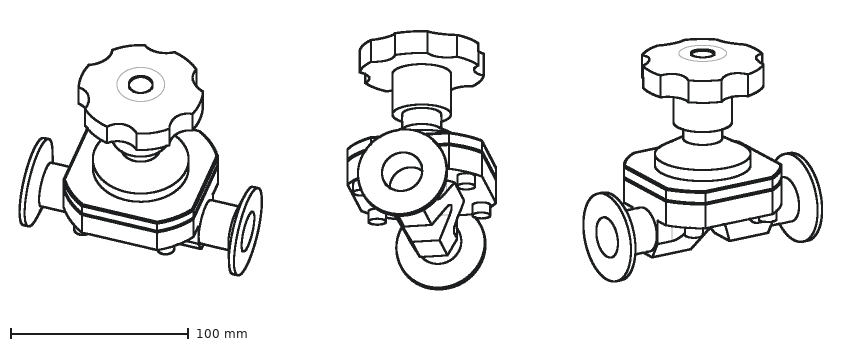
import cadquery as cq
import math

length = 127.0
flange_radius = 25.3
flange_rim = 3.0
flange_depth = 7.5
pipe_radius = 12.7
bore_radius = 23.0 / 2

plate_half = 77.0 / 2
plate_corner_radius = 44.5
plate_chamfer = 0.8
seam_height = 0.9
seam_inset = 0.3

body_bottom = -14.4
slope_top = -4.7
screw_bottom = 3.2
plate_bottom = 9.3
seam_bottom = 23.5
plate_top = 31.2
bonnet_rim_top = 37.8
bonnet_top = 47.1
collar_bottom = 56.8
wheel_bottom = 80.9
wheel_rim_top = 94.0
wheel_top = 97.9

wall_half = 13.5
hump_radius = 26.4
hump_blend = 12.2
side_slope = 30.0
notch_radius = 6.7
notch_top = 1.3
notch_slope = 60.0

screw_radius = 10.0 / 2
screw_x = 24.5
screw_y = 29.7

bonnet_radius = 54.0 / 2
neck_radius = 22.0 / 2
collar_radius = 16.5
wheel_radius = 35.0
wheel_flat_radius = 13.5
dimple_radius = 13.5 / 2
dimple_depth = 0.9
grip_count = 6
grip_radius = 12.0
grip_inner_distance = 30.1


def make_plate(bottom, top, inset=0.0):
    """Square plate whose corners are cut by a cylinder about the stem."""
    side = 2 * (plate_half - inset)
    base = cq.Workplane("XY").workplane(offset=bottom)
    square = base.rect(side, side).extrude(top - bottom)
    corners = base.circle(plate_corner_radius - inset).extrude(top - bottom)
    return square.intersect(corners)


def make_plates():
    seam_top = seam_bottom + seam_height
    cover = make_plate(seam_top, plate_top).faces(">Z").chamfer(plate_chamfer)
    seam = make_plate(seam_bottom, seam_top, seam_inset)
    return make_plate(plate_bottom, seam_bottom).union(seam).union(cover)


def make_lower_body():
    height = plate_bottom - body_bottom
    base = cq.Workplane("XY").workplane(offset=body_bottom)

    blend_y = wall_half + hump_blend
    blend_x = math.sqrt((hump_radius + hump_blend) ** 2 - blend_y ** 2)
    blend_share = hump_radius / (hump_radius + hump_blend)
    touch_y = blend_y * blend_share
    blend_zone = base.rect(2 * blend_x, 2 * touch_y).extrude(height)
    blend_centres = [(x, y) for x in (-blend_x, blend_x) for y in (-blend_y, blend_y)]
    blend_zone = blend_zone.cut(base.pushPoints(blend_centres).circle(hump_blend).extrude(height))
    walls = base.rect(2 * plate_half, 2 * wall_half).extrude(height)
    bulge = base.circle(hump_radius).extrude(height)
    body = walls.union(bulge).union(blend_zone)

    widening = math.tan(math.radians(side_slope))
    bottom_half = wall_half - (slope_top - body_bottom) * widening
    top_half = wall_half + (plate_bottom - slope_top) * widening
    wedge = (
        cq.Workplane("YZ")
        .moveTo(-bottom_half, body_bottom)
        .lineTo(bottom_half, body_bottom)
        .lineTo(top_half, plate_bottom)
        .lineTo(-top_half, plate_bottom)
        .close()
        .extrude(plate_half, both=True)
    )
    return body.intersect(wedge)


def make_notch():
    """Round-topped V passing under the body along Y."""
    angle = math.radians(notch_slope)
    centre_z = notch_top - notch_radius
    tangent_x = notch_radius * math.sin(angle)
    tangent_z = centre_z + notch_radius * math.cos(angle)
    foot_x = tangent_x + (tangent_z - body_bottom) / math.tan(angle)
    return (
        cq.Workplane("XZ")
        .moveTo(-foot_x, body_bottom)
        .lineTo(-tangent_x, tangent_z)
        .threePointArc((0, notch_top), (tangent_x, tangent_z))
        .lineTo(foot_x, body_bottom)
        .close()
        .extrude(plate_half, both=True)
    )


def make_pipe_end():
    """Flanged pipe on the -X side, bored as far as the body."""
    end = -length / 2
    return (
        cq.Workplane("XY")
        .moveTo(end, bore_radius)
        .lineTo(end, flange_radius)
        .lineTo(end + flange_rim, flange_radius)
        .lineTo(end + flange_depth, pipe_radius)
        .lineTo(-plate_half, pipe_radius)
        .lineTo(-plate_half, bore_radius)
        .close()
        .revolve(360, (0, 0, 0), (1, 0, 0))
    )


def make_screws():
    return (
        cq.Workplane("XY")
        .workplane(offset=screw_bottom)
        .rect(2 * screw_x, 2 * screw_y, forConstruction=True)
        .vertices()
        .circle(screw_radius)
        .extrude(plate_bottom - screw_bottom)
    )


def make_bonnet_and_stem():
    return (
        cq.Workplane("XZ")
        .moveTo(0, plate_top)
        .lineTo(bonnet_radius, plate_top)
        .lineTo(bonnet_radius, bonnet_rim_top)
        .lineTo(neck_radius, bonnet_top)
        .lineTo(neck_radius, collar_bottom)
        .lineTo(collar_radius, collar_bottom)
        .lineTo(collar_radius, wheel_bottom)
        .lineTo(0, wheel_bottom)
        .close()
        .revolve(360, (0, 0, 0), (0, 1, 0))
    )


def make_handwheel():
    dimple_floor = wheel_top - dimple_depth
    wheel = (
        cq.Workplane("XZ")
        .moveTo(0, wheel_bottom)
        .lineTo(wheel_radius, wheel_bottom)
        .lineTo(wheel_radius, wheel_rim_top)
        .lineTo(wheel_flat_radius, wheel_top)
        .lineTo(dimple_radius, wheel_top)
        .lineTo(dimple_radius, dimple_floor)
        .lineTo(0, dimple_floor)
        .close()
        .revolve(360, (0, 0, 0), (0, 1, 0))
    )
    grips = (
        cq.Workplane("XY")
        .workplane(offset=wheel_bottom)
        .polarArray(grip_inner_distance + grip_radius, 90, 360, grip_count)
        .circle(grip_radius)
        .extrude(wheel_top - wheel_bottom)
    )
    return wheel.cut(grips)


pipe_end = make_pipe_end()
result = (
    make_lower_body()
    .cut(make_notch())
    .union(make_plates())
    .union(pipe_end)
    .union(pipe_end.mirror("YZ"))
    .union(make_screws())
    .union(make_bonnet_and_stem())
    .union(make_handwheel())
)